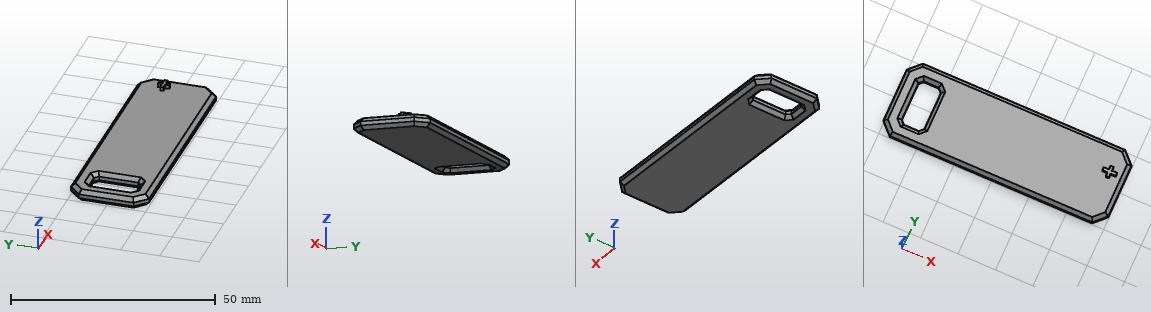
import cadquery as cq

length = 60.0
width = length / 3
thickness = 3.0
bevel = thickness / 3
corner_cut = 3.0

window_length = 6.0
window_width = 12.0
window_corner_cut = bevel
window_margin = 3.0
window_x = -length / 2 + window_margin + bevel + window_length / 2

cross_height = thickness / 3
cross_length = 3.6
cross_width = 2.9
cross_bar = 0.85
cross_x = 25.9
cross_y = 3.0


def octagonal_prism(size_x, size_y, cut):
    """Upright block of the plate's thickness with its four vertical corners cut at 45 degrees."""
    block = cq.Workplane("XY").box(size_x, size_y, thickness, centered=(True, True, False))
    return block.edges("|Z").chamfer(cut)


def bevelled_plate():
    plate = octagonal_prism(length, width, corner_cut)
    window = octagonal_prism(window_length, window_width, window_corner_cut)
    plate = plate.cut(window.translate((window_x, 0, 0)))
    return plate.faces("<Z or >Z").edges().chamfer(bevel)


def raised_bar(size_x, size_y):
    base = cq.Workplane("XY", origin=(cross_x, cross_y, thickness))
    return base.rect(size_x, size_y).extrude(cross_height)


def raised_cross():
    return raised_bar(cross_length, cross_bar).union(raised_bar(cross_bar, cross_width))


result = bevelled_plate().union(raised_cross())